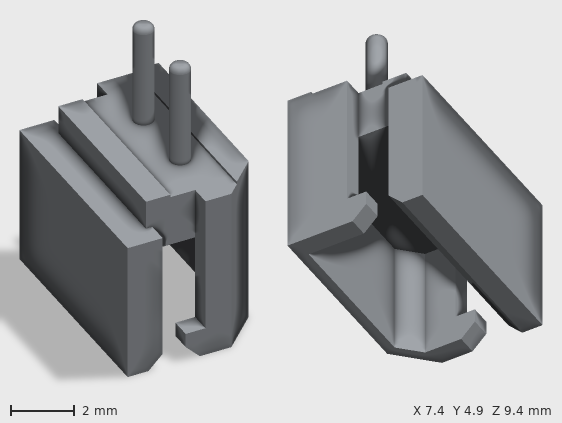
import cadquery as cq
import math

width = 7.4
depth = 4.9
height = 9.4

plate_thickness = 1.23
plate_top = 4.87

housing_front = 2.74
hook_front = 2.04
hook_top = 1.0
foot_chamfer = 0.5
floor_top = 5.79
corner_chamfer = 1.25

side_wall = 0.705
back_wall = 0.36
cavity_top = 4.0

tongue_front = 1.01
ridge_height = 0.09
front_ridge_back = 1.86
rear_ridge_front = 4.04

pin_diameter = 0.7
pin_pitch = 2.5
pin_y = 3.1
pin_tip_radius = 0.2


def box(x_range, y_range, z_range):
    """Box between the given limits along each axis."""
    sizes = [high - low for low, high in (x_range, y_range, z_range)]
    corner = (x_range[0], y_range[0], z_range[0])
    return cq.Workplane("XY").box(*sizes, centered=False).translate(corner)


def extrude_across(profile):
    """Extrude a closed (Y, Z) profile across the full width."""
    return cq.Workplane("YZ").polyline(profile).close().extrude(width)


def front_plate():
    return extrude_across([
        (0, 0),
        (plate_thickness - foot_chamfer, 0),
        (plate_thickness, foot_chamfer),
        (plate_thickness, plate_top),
        (0, plate_top),
    ])


def hooked_housing():
    return extrude_across([
        (depth, 0),
        (hook_front + foot_chamfer, 0),
        (hook_front, foot_chamfer),
        (hook_front, hook_top),
        (housing_front, hook_top),
        (housing_front, floor_top),
        (depth, floor_top),
    ])


def cavity():
    """Pocket whose beveled rear corner keeps the back wall thickness at the housing's corner."""
    right = width - side_wall
    back = depth - back_wall
    bevel_sum = width + depth - corner_chamfer - back_wall * math.sqrt(2)
    outline = [
        (side_wall, plate_thickness),
        (right, plate_thickness),
        (right, bevel_sum - right),
        (bevel_sum - back, back),
        (side_wall, back),
    ]
    return cq.Workplane("XY").polyline(outline).close().extrude(cavity_top)


def tongue():
    """Bridge between housing and plate, overlapping the plate's top edge."""
    x_range = (side_wall, width - side_wall)
    bridge = box(x_range, (plate_thickness, housing_front), (cavity_top, floor_top))
    overhang = box(x_range, (tongue_front, plate_thickness), (plate_top, floor_top))
    ridge = box(x_range, (tongue_front, front_ridge_back), (floor_top, floor_top + ridge_height))
    return bridge.union(overhang).union(ridge)


def rear_ridge():
    return box((0, width), (rear_ridge_front, depth), (floor_top, floor_top + ridge_height))


def corner_wedge():
    """Material removed at the right rear corner."""
    outline = [(width, depth), (width - corner_chamfer, depth), (width, depth - corner_chamfer)]
    return cq.Workplane("XY").polyline(outline).close().extrude(height)


def pin(x):
    return (
        cq.Workplane("XY", origin=(x, pin_y, floor_top))
        .circle(pin_diameter / 2)
        .extrude(height - floor_top)
        .faces(">Z")
        .edges()
        .fillet(pin_tip_radius)
    )


result = hooked_housing().cut(cavity()).union(rear_ridge()).cut(corner_wedge())
result = result.union(tongue()).union(front_plate())
for side in (-1, 1):
    result = result.union(pin(width / 2 + side * pin_pitch / 2))